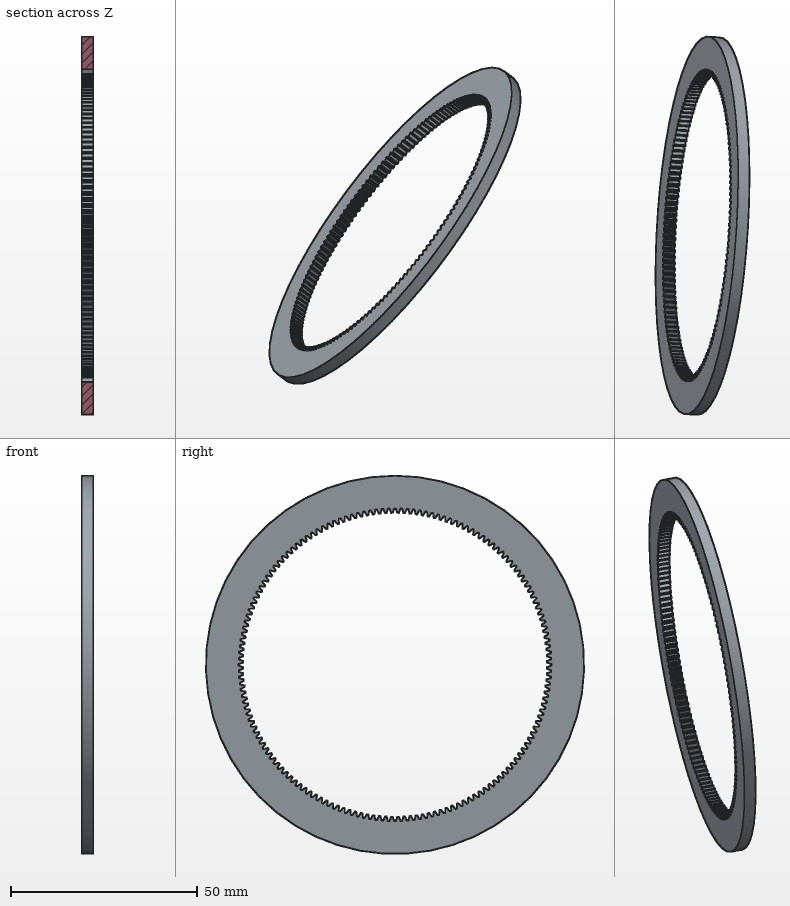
import cadquery as cq
import math

outer_diameter = 101.5
thickness = 3.1
tooth_count = 156
root_radius = 41.9
pressure_angle = math.radians(20)
addendum_factor = 1.0
dedendum_factor = 1.25

module = root_radius / (tooth_count / 2 + dedendum_factor)
pitch_radius = module * tooth_count / 2
tip_radius = pitch_radius - addendum_factor * module
angular_pitch = 2 * math.pi / tooth_count


def point_at(radius, angle):
    return (radius * math.cos(angle), radius * math.sin(angle))


def gap_half_angle(radius):
    """Half the angle spanned by a tooth gap, which narrows outward along straight flanks."""
    half_width_at_pitch = math.pi * module / 4
    half_width = half_width_at_pitch - (radius - pitch_radius) * math.tan(pressure_angle)
    return half_width / radius


def add_gap_and_tooth(outline, gap_angle):
    """Continue the outline through one gap, then along the tip of the next tooth."""
    root_half = gap_half_angle(root_radius)
    tip_half = gap_half_angle(tip_radius)
    return (
        outline
        .lineTo(*point_at(root_radius, gap_angle - root_half))
        .threePointArc(
            point_at(root_radius, gap_angle),
            point_at(root_radius, gap_angle + root_half),
        )
        .lineTo(*point_at(tip_radius, gap_angle + tip_half))
        .threePointArc(
            point_at(tip_radius, gap_angle + angular_pitch / 2),
            point_at(tip_radius, gap_angle + angular_pitch - tip_half),
        )
    )


ring_plane = cq.Plane(origin=(-thickness / 2, 0, 0), xDir=(0, 0, 1), normal=(1, 0, 0))
blank = cq.Workplane(ring_plane).circle(outer_diameter / 2).extrude(thickness)

first_corner = point_at(tip_radius, -gap_half_angle(tip_radius))
opening_outline = cq.Workplane(ring_plane).moveTo(*first_corner)
for gap_index in range(tooth_count):
    opening_outline = add_gap_and_tooth(opening_outline, gap_index * angular_pitch)
opening = opening_outline.close().extrude(thickness)

result = blank.cut(opening)